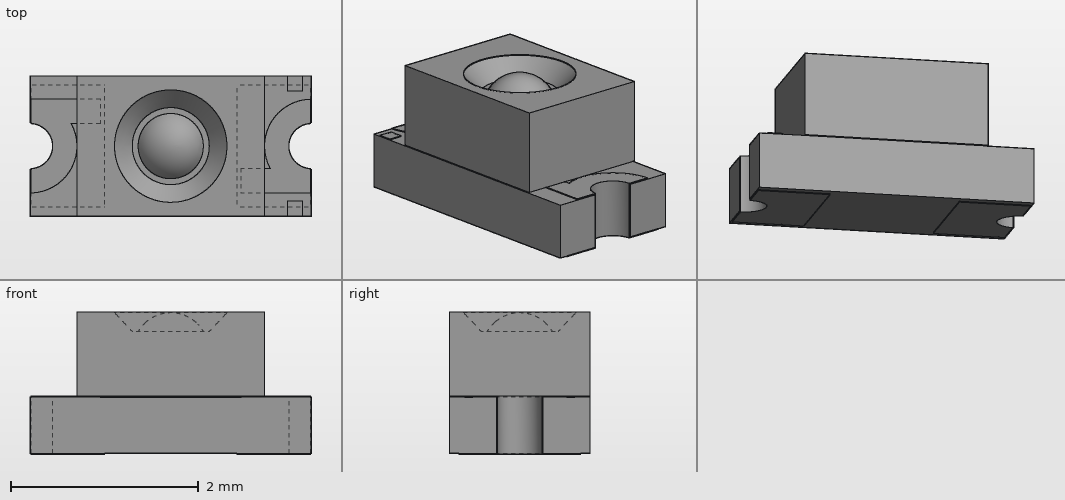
import cadquery as cq
import math

LENGTH = 3.0
WIDTH = LENGTH / 2
BOARD_HEIGHT = 0.6
NOTCH_RADIUS = WIDTH / 6

PLATING = 0.0105
PLATED_END_X = LENGTH / 2 - PLATING
LAND_RADIUS = WIDTH / 3
TRACE_INNER_Y = NOTCH_RADIUS - PLATING
TRACE_INNER_X = 0.75
FOOT_LENGTH = 0.795
FOOT_WIDTH = 1.3

MARK_SIZE = 0.16
MARK_CENTER_X = 1.325
MARK_CENTER_Y = 0.665

HOUSING_LENGTH = LENGTH * 2 / 3
HOUSING_HEIGHT = 0.9
HOUSING_BOTTOM = BOARD_HEIGHT + PLATING
HOUSING_TOP = HOUSING_BOTTOM + HOUSING_HEIGHT
BOWL_TOP_RADIUS = 0.6
BOWL_FLOOR_RADIUS = 0.41
BOWL_DEPTH = 0.21
RIM_DEPTH = 0.01
DOME_RADIUS = 0.348
DOME_HEIGHT = 0.2


def box_between(x_min, x_max, y_min, y_max, bottom, height):
    """Upright block given by its plan limits, bottom level and height."""
    return (
        cq.Workplane("XY", origin=(0, 0, bottom))
        .moveTo(x_min, y_min)
        .lineTo(x_max, y_min)
        .lineTo(x_max, y_max)
        .lineTo(x_min, y_max)
        .close()
        .extrude(height)
    )


def end_cylinder(radius, bottom, height):
    """Upright cylinder centred on the -X end face of the board."""
    return cq.Workplane("XY", origin=(-LENGTH / 2, 0, bottom)).circle(radius).extrude(height)


def terminal():
    """Plating of the -X end: top land with its trace, notch lining and bottom foot."""
    full_height = BOARD_HEIGHT + 2 * PLATING
    land = end_cylinder(LAND_RADIUS, BOARD_HEIGHT, PLATING)
    trace = box_between(
        -PLATED_END_X, -TRACE_INNER_X, TRACE_INNER_Y, LAND_RADIUS, BOARD_HEIGHT, PLATING
    )
    lining = end_cylinder(NOTCH_RADIUS, -PLATING, full_height)
    foot = box_between(
        -PLATED_END_X, FOOT_LENGTH - LENGTH / 2, -FOOT_WIDTH / 2, FOOT_WIDTH / 2, -PLATING, PLATING
    )
    inside_end = box_between(-PLATED_END_X, 0, -WIDTH / 2, WIDTH / 2, -PLATING, full_height)
    bore = end_cylinder(NOTCH_RADIUS - PLATING, -PLATING, full_height)
    return land.union(trace).union(lining).union(foot).intersect(inside_end).cut(bore)


def make_base():
    """Notched board with a terminal at each end and the two polarity marks."""
    base = cq.Workplane("XY").box(LENGTH, WIDTH, BOARD_HEIGHT, centered=(True, True, False))
    for angle in (0, 180):
        notch = end_cylinder(NOTCH_RADIUS, 0, BOARD_HEIGHT)
        base = base.cut(notch.rotate((0, 0, 0), (0, 0, 1), angle))
    for angle in (0, 180):
        base = base.union(terminal().rotate((0, 0, 0), (0, 0, 1), angle))
    marks = (
        cq.Workplane("XY", origin=(0, 0, BOARD_HEIGHT))
        .pushPoints([(MARK_CENTER_X, side * MARK_CENTER_Y) for side in (-1, 1)])
        .rect(MARK_SIZE, MARK_SIZE)
        .extrude(PLATING)
    )
    return base.union(marks)


def make_dome(floor_level):
    """Spherical cap standing on the bowl floor."""
    sphere_radius = (DOME_RADIUS**2 + DOME_HEIGHT**2) / (2 * DOME_HEIGHT)
    center_level = floor_level + DOME_HEIGHT - sphere_radius
    middle_x = DOME_RADIUS / 2
    middle_level = center_level + math.sqrt(sphere_radius**2 - middle_x**2)
    return (
        cq.Workplane("XZ")
        .moveTo(0, floor_level)
        .lineTo(DOME_RADIUS, floor_level)
        .threePointArc((middle_x, middle_level), (0, floor_level + DOME_HEIGHT))
        .close()
        .revolve(360, (0, 0, 0), (0, 1, 0))
    )


def make_housing():
    """Block resting on the plating, with a straight-rimmed conical bowl around a lens dome."""
    block = cq.Workplane("XY", origin=(0, 0, HOUSING_BOTTOM)).box(
        HOUSING_LENGTH, WIDTH, HOUSING_HEIGHT, centered=(True, True, False)
    )
    floor_level = HOUSING_TOP - BOWL_DEPTH
    bowl = (
        cq.Workplane("XZ")
        .moveTo(0, HOUSING_TOP)
        .lineTo(BOWL_TOP_RADIUS, HOUSING_TOP)
        .lineTo(BOWL_TOP_RADIUS, HOUSING_TOP - RIM_DEPTH)
        .lineTo(BOWL_FLOOR_RADIUS, floor_level)
        .lineTo(0, floor_level)
        .close()
        .revolve(360, (0, 0, 0), (0, 1, 0))
    )
    return block.cut(bowl).union(make_dome(floor_level))


base = make_base()
housing = make_housing()
result = cq.Compound.makeCompound([base.val(), housing.val()])